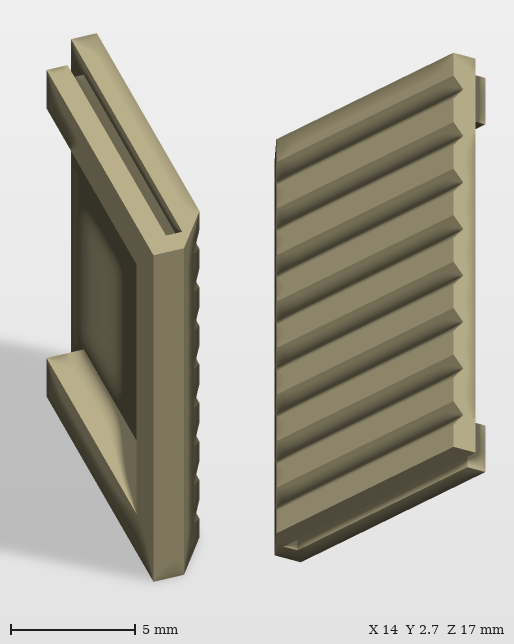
import cadquery as cq

width = 14.0
depth = 2.7
height = 17.0

plate_thickness = 1.1
frame_depth = depth - plate_thickness
frame_inset = 1.5
rail_width = 2.0

slot_size = 0.7
slot_end_wall = 1.0

bevel_width = 2.0
bevel_depth = 1.4

groove_count = 8
groove_pitch = 2.0
groove_depth = 0.5
groove_half_width = groove_depth


def block(x_start, x_end, y_start, y_end, z_start, z_end):
    """Box between two opposite corners."""
    size = (x_end - x_start, y_end - y_start, z_end - z_start)
    return cq.Workplane("XY").box(*size, centered=False).translate((x_start, y_start, z_start))


def make_body():
    """Plate and frame in plan, with the bevelled rear corner, and the open pocket cut out."""
    outline = [
        (0, frame_depth),
        (frame_inset, frame_depth),
        (frame_inset, 0),
        (width, 0),
        (width, depth - bevel_depth),
        (width - bevel_width, depth),
        (0, depth),
    ]
    body = cq.Workplane("XY").polyline(outline).close().extrude(height)
    pocket = block(0, width - rail_width, 0, frame_depth, rail_width, height - rail_width)
    return body.cut(pocket)


def make_slot(z_start):
    """Slot open at the pocket's open side and closed by the end wall."""
    return block(
        frame_inset, width - slot_end_wall,
        frame_depth - slot_size, frame_depth,
        z_start, z_start + slot_size,
    )


def make_grip_groove(z_center):
    """Triangular groove running the full width of the back."""
    profile = [
        (depth, z_center - groove_half_width),
        (depth - groove_depth, z_center),
        (depth, z_center + groove_half_width),
    ]
    return cq.Workplane("YZ").polyline(profile).close().extrude(width)


result = make_body()
for slot_bottom in (0, height - slot_size):
    result = result.cut(make_slot(slot_bottom))

first_groove = (height - (groove_count - 1) * groove_pitch) / 2
for index in range(groove_count):
    result = result.cut(make_grip_groove(first_groove + index * groove_pitch))